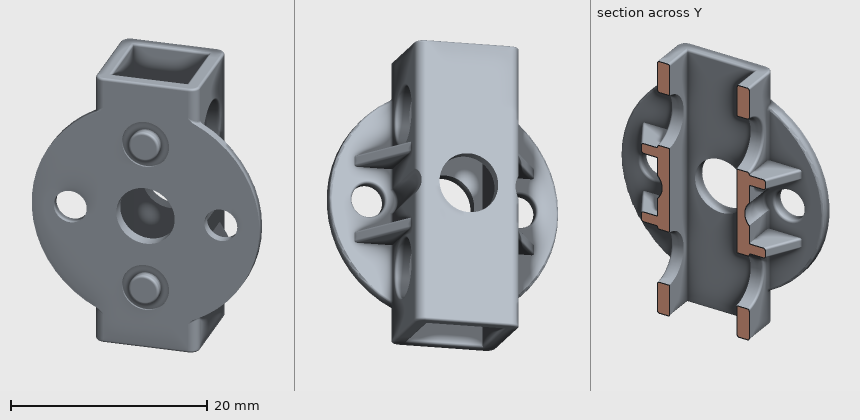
import cadquery as cq
TUBE_WIDTH = 11.0
TUBE_DEPTH = 10.5
TUBE_HEIGHT = 29.5
SIDE_WALL = 1.5
FRONT_BACK_WALL = 1.4
CORNER_RADIUS = 1.0
EDGE_RADIUS = 0.25

PLATE_DIAMETER = 24.2
PLATE_THICKNESS = 1.2
CENTER_HOLE_DIAMETER = 6.2
SCREW_HOLE_DIAMETER = 3.5
SCREW_SPACING = 16.0

GROOVE_WIDTH = 2.62
GROOVE_DEPTH = 0.54

PIN_DIAMETER = 3.2
PIN_PROJECTION = 0.75
PIN_END_RADIUS = 0.25
PIN_SPACING = 16.0
RECESS_DIAMETER = 5.0
RECESS_DEPTH = 0.25

SIDE_HOLE_DIAMETER = 6.2
SIDE_HOLE_SPACING = 16.0

RIB_THICKNESS = 1.2
RIB_SPACING = 8.0
RIB_REACH = 4.0
RIB_TOP_Y = 3.0

SIDE_X = TUBE_WIDTH / 2
FRONT_Y = -TUBE_DEPTH / 2
BACK_Y = TUBE_DEPTH / 2
PLATE_BACK_Y = FRONT_Y + PLATE_THICKNESS
BORE_WIDTH = TUBE_WIDTH - 2 * SIDE_WALL
BORE_DEPTH = TUBE_DEPTH - 2 * FRONT_BACK_WALL

GROOVE_RADIUS = (GROOVE_WIDTH**2 / 4 + GROOVE_DEPTH**2) / (2 * GROOVE_DEPTH)
GROOVE_CENTER_X = SIDE_X - GROOVE_DEPTH + GROOVE_RADIUS

SIDES = (-1, 1)
SELECT_MARGIN = 0.05


def cylinder_along_y(diameter, start_y, end_y, x=0.0, z=0.0):
    """Cylinder parallel to Y between two Y positions."""
    start = cq.Vector(x, start_y, z)
    direction = cq.Vector(0, 1, 0)
    return cq.Workplane(cq.Solid.makeCylinder(diameter / 2, end_y - start_y, start, direction))


def make_body():
    """Solid grooved tube and plate, with the plate rim, their junction and the tube ends rounded."""
    tube = cq.Workplane("XY").box(TUBE_WIDTH, TUBE_DEPTH, TUBE_HEIGHT).edges("|Z").fillet(CORNER_RADIUS)
    plate = cylinder_along_y(PLATE_DIAMETER, FRONT_Y, PLATE_BACK_Y)
    body = tube.union(plate)
    for side in SIDES:
        x = side * GROOVE_CENTER_X
        body = body.cut(cylinder_along_y(2 * GROOVE_RADIUS, PLATE_BACK_Y, BACK_Y, x))

    low_y = FRONT_Y + SELECT_MARGIN
    high_y = PLATE_BACK_Y + SELECT_MARGIN
    junction_x = SIDE_X + SELECT_MARGIN
    radius = PLATE_DIAMETER / 2
    for side in SIDES:
        rim_start = (side * junction_x, PLATE_BACK_Y - SELECT_MARGIN, -radius)
        rim = cq.selectors.BoxSelector(rim_start, (side * radius, high_y, radius))
        body = body.edges(rim).fillet(EDGE_RADIUS)
    junction = cq.selectors.BoxSelector((-junction_x, low_y, -radius), (junction_x, high_y, radius))
    body = body.edges(junction).fillet(EDGE_RADIUS)
    return body.faces("<Z or >Z").edges().fillet(EDGE_RADIUS)


def add_ribs(body):
    """Four triangular ribs with rounded sloping edges, fused into the tube wall and the plate."""
    slope = (RIB_TOP_Y - PLATE_BACK_Y) / RIB_REACH
    inner_x = SIDE_X - SIDE_WALL / 2
    inner_y = PLATE_BACK_Y - PLATE_THICKNESS / 2
    top_y = RIB_TOP_Y + (SIDE_X - inner_x) * slope
    foot_x = SIDE_X + (RIB_TOP_Y - inner_y) / slope
    for side in SIDES:
        outline = [(side * inner_x, inner_y), (side * foot_x, inner_y), (side * inner_x, top_y)]
        rib = cq.Workplane("XY").polyline(outline).close().extrude(RIB_THICKNESS / 2, both=True)
        sloping_face = rib.faces(cq.selectors.DirectionMinMaxSelector(cq.Vector(side, 1, 0)))
        rib = sloping_face.edges("#Z").fillet(EDGE_RADIUS)
        for level in SIDES:
            body = body.union(rib.translate((0, 0, level * RIB_SPACING / 2)))
    return body


def cut_bore(body):
    """Rectangular bore along the tube with rounded mouths."""
    body = body.cut(cq.Workplane("XY").box(BORE_WIDTH, BORE_DEPTH, TUBE_HEIGHT))
    mouth_edges = cq.selectors.BoxSelector(
        (-SIDE_X + SIDE_WALL / 2, FRONT_Y + FRONT_BACK_WALL / 2, -TUBE_HEIGHT),
        (SIDE_X - SIDE_WALL / 2, BACK_Y - FRONT_BACK_WALL / 2, TUBE_HEIGHT),
    )
    return body.faces("<Z or >Z").edges(mouth_edges).fillet(EDGE_RADIUS)


def cut_side_holes(body):
    """Holes across the tube, rounded where they meet its outer sides."""
    for level in SIDES:
        center_z = level * SIDE_HOLE_SPACING / 2
        hole = cq.Workplane("YZ").center(0, center_z).circle(SIDE_HOLE_DIAMETER / 2)
        body = body.cut(hole.extrude(TUBE_WIDTH, both=True))
        for side in SIDES:
            half = SIDE_HOLE_DIAMETER / 2 + SELECT_MARGIN
            rim = cq.selectors.BoxSelector(
                (side * (SIDE_X - SELECT_MARGIN), -half, center_z - half),
                (side * (SIDE_X + SELECT_MARGIN), half, center_z + half),
                boundingbox=True,
            )
            body = body.edges(rim).fillet(EDGE_RADIUS)
    return body


def cut_plate_holes(body):
    """Central hole through the whole part, and screw holes rounded at the back of the plate."""
    body = body.cut(cylinder_along_y(CENTER_HOLE_DIAMETER, FRONT_Y, BACK_Y))
    for side in SIDES:
        x = side * SCREW_SPACING / 2
        body = body.cut(cylinder_along_y(SCREW_HOLE_DIAMETER, FRONT_Y, PLATE_BACK_Y, x))
        half = SCREW_HOLE_DIAMETER / 2 + SELECT_MARGIN
        rim = cq.selectors.BoxSelector(
            (x - half, PLATE_BACK_Y - SELECT_MARGIN, -half),
            (x + half, PLATE_BACK_Y + SELECT_MARGIN, half),
            boundingbox=True,
        )
        body = body.edges(rim).fillet(EDGE_RADIUS)
    return body


def add_pins(body):
    """Round-ended locating pins, each in the middle of its recess."""
    for level in SIDES:
        z = level * PIN_SPACING / 2
        recess_floor_y = FRONT_Y + RECESS_DEPTH
        body = body.cut(cylinder_along_y(RECESS_DIAMETER, FRONT_Y, recess_floor_y, 0, z))
        pin = cylinder_along_y(PIN_DIAMETER, FRONT_Y - PIN_PROJECTION, recess_floor_y, 0, z)
        body = body.union(pin.faces("<Y").edges().fillet(PIN_END_RADIUS))
    return body


result = make_body()
result = cut_bore(result)
result = cut_side_holes(result)
result = add_ribs(result)
result = cut_plate_holes(result)
result = add_pins(result)